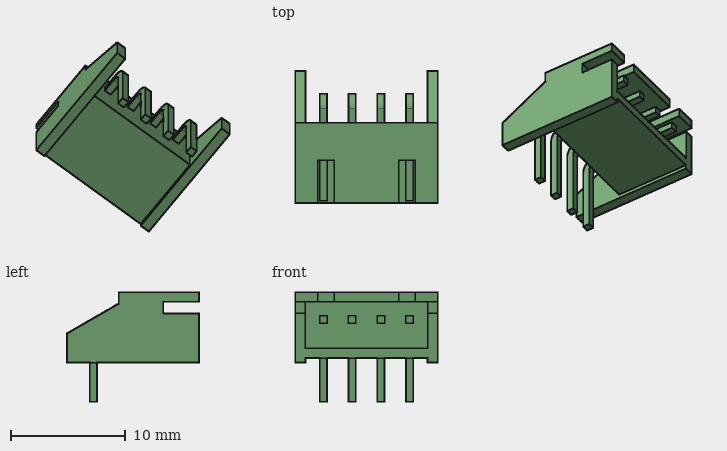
import cadquery as cq


body_width = 12.4
body_depth = 7.0
body_height = 6.15
side_wall = 0.85
top_wall = 0.85
floor_thickness = 0.85
foot_height = 0.4
cavity_depth = 4.7

cheek_thickness = 0.9
cheek_length = 11.5
cheek_rear_height = 2.55
cheek_shoulder_height = 5.15

top_slot_width = 1.43
top_slot_depth = 3.7
top_slot_edge_distance = 1.95
side_slot_height = 1.0
side_slot_depth = 3.1

pin_count = 4
pin_pitch = 2.5
pin_size = 0.64
pin_axis_height = 3.77
pin_tip_setback = 0.2
pin_tail_y = 9.2
pin_tail_length = 3.4
pin_bend_outer_radius = 2 * pin_size
pin_bend_inner_radius = pin_bend_outer_radius - pin_size

half_width = body_width / 2
ceiling_z = body_height - top_wall


def box(x_min, x_max, y_min, y_max, z_min, z_max):
    """Box spanning the given limits."""
    size = (x_max - x_min, y_max - y_min, z_max - z_min)
    return cq.Workplane("XY").box(*size, centered=False).translate((x_min, y_min, z_min))


def make_shell():
    """Block between the cheeks, hollowed from the front."""
    block = box(-half_width, half_width, 0, body_depth, foot_height, body_height)
    cavity = box(
        -half_width + side_wall,
        half_width - side_wall,
        0,
        cavity_depth,
        foot_height + floor_thickness,
        ceiling_z,
    )
    return block.cut(cavity)


def make_cheek(x_min):
    """Rear arm with a sloping top, and the foot that continues it to the front."""
    foot = box(x_min, x_min + cheek_thickness, 0, body_depth, 0, foot_height)
    arm = (
        cq.Workplane("YZ", origin=(x_min, 0, 0))
        .moveTo(cavity_depth, 0)
        .lineTo(cheek_length, 0)
        .lineTo(cheek_length, cheek_rear_height)
        .lineTo(body_depth, cheek_shoulder_height)
        .lineTo(cavity_depth, cheek_shoulder_height)
        .close()
        .extrude(cheek_thickness)
    )
    return foot.union(arm)


def make_top_slot(x_min):
    """Opening through the top wall, from the front edge."""
    return box(x_min, x_min + top_slot_width, 0, top_slot_depth, ceiling_z, body_height)


def make_side_slots():
    """Opening through both side walls, directly under the top wall."""
    return box(-half_width, half_width, 0, side_slot_depth, ceiling_z - side_slot_height, ceiling_z)


def make_pin(x_center):
    """Square pin: straight from the tip, bent down through a right angle into a tail."""
    tail_front = pin_tail_y - pin_size / 2
    tail_rear = pin_tail_y + pin_size / 2
    pin_bottom = pin_axis_height - pin_size / 2
    pin_top = pin_axis_height + pin_size / 2
    return (
        cq.Workplane("YZ", origin=(x_center - pin_size / 2, 0, 0))
        .moveTo(pin_tip_setback, pin_top)
        .lineTo(tail_rear - pin_bend_outer_radius, pin_top)
        .radiusArc((tail_rear, pin_top - pin_bend_outer_radius), pin_bend_outer_radius)
        .lineTo(tail_rear, -pin_tail_length)
        .lineTo(tail_front, -pin_tail_length)
        .lineTo(tail_front, pin_bottom - pin_bend_inner_radius)
        .radiusArc((tail_front - pin_bend_inner_radius, pin_bottom), -pin_bend_inner_radius)
        .lineTo(pin_tip_setback, pin_bottom)
        .close()
        .extrude(pin_size)
    )


result = make_shell()

for cheek_x in (-half_width, half_width - cheek_thickness):
    result = result.union(make_cheek(cheek_x))

left_slot_x = -half_width + top_slot_edge_distance
right_slot_x = half_width - top_slot_edge_distance - top_slot_width
for slot_x in (left_slot_x, right_slot_x):
    result = result.cut(make_top_slot(slot_x))

result = result.cut(make_side_slots())

first_pin_x = -pin_pitch * (pin_count - 1) / 2
for pin_index in range(pin_count):
    result = result.union(make_pin(first_pin_x + pin_index * pin_pitch))